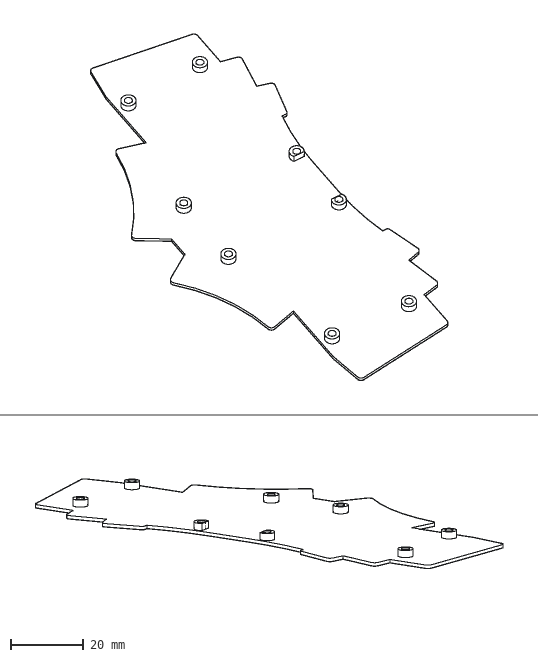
import cadquery as cq

plate_thickness = 1.0
overall_height = 3.0

standoff_diameter = 4.2
hole_diameter = 2.2
top_inner_standoff = (10.75, 22.5)
standoff_centers = [
    top_inner_standoff,
    (53.35, 18.1),
    (52.0, -6.3),
    (11.4, -14.25),
]
standoff_flat_x = 9.55

top_middle = (0, 25.1)
top_flat_end = (6.8, top_middle[1])
top_arc_end = (25.65, 27.3)
tab_inner = (top_arc_end[0], 29.1)
tab_outer = (37.45, 32.23)
tab_notch = (38.85, 27.45)
step_outer = (50.7, 29.85)
step_notch = (52.0, 24.0)
wing_top = (64.75, step_notch[1])
wing_bottom = (69.26, -8.05)
wing_bend = (58.0, -9.75)
lower_notch = (37.6, wing_bend[1])
lobe_outer = (40.15, -18.65)
lobe_arc_middle = (26.0, -22.3)
lobe_tip = (9.7, -32.85)
bottom_notch = (3.4, -23.45)
bottom_middle = (0, bottom_notch[1])

stepped_side = [
    tab_inner,
    tab_outer,
    tab_notch,
    step_outer,
    step_notch,
    wing_top,
    wing_bottom,
    wing_bend,
    lower_notch,
    lobe_outer,
]

tab_inner_radius = 0.8
corner_radius = 1.2
lobe_tip_radius = 1.35
rounded_corners = [
    (tab_inner, tab_inner_radius),
    (tab_outer, corner_radius),
    (step_outer, corner_radius),
    (wing_top, corner_radius),
    (wing_bottom, corner_radius),
    (lobe_outer, corner_radius),
    (lobe_tip, lobe_tip_radius),
]


def mirrored(point):
    x, y = point
    return (-x, y)


def make_plate():
    outline = (
        cq.Workplane("XY")
        .moveTo(*top_middle)
        .lineTo(*top_flat_end)
        .tangentArcPoint(top_arc_end, relative=False)
        .polyline(stepped_side, includeCurrent=True)
        .threePointArc(lobe_arc_middle, lobe_tip)
        .lineTo(*bottom_notch)
        .lineTo(*bottom_middle)
        .close()
    )
    half = outline.extrude(plate_thickness)
    for (x, y), radius in rounded_corners:
        corner = cq.selectors.NearestToPointSelector((x, y, plate_thickness / 2))
        half = half.edges("|Z").edges(corner).fillet(radius)
    return half.union(half.mirror("YZ")).clean()


def both_sides(points):
    return points + [mirrored(point) for point in points]


def make_standoffs():
    standoffs = (
        cq.Workplane("XY")
        .pushPoints(both_sides(standoff_centers))
        .circle(standoff_diameter / 2)
        .extrude(overall_height)
    )
    trim = (
        cq.Workplane("XY")
        .center(0, top_inner_standoff[1])
        .rect(2 * standoff_flat_x, standoff_diameter)
        .extrude(overall_height)
    )
    return standoffs.cut(trim)


def make_holes():
    return (
        cq.Workplane("XY")
        .pushPoints(both_sides(standoff_centers))
        .circle(hole_diameter / 2)
        .extrude(overall_height)
    )


result = make_plate().union(make_standoffs()).cut(make_holes())